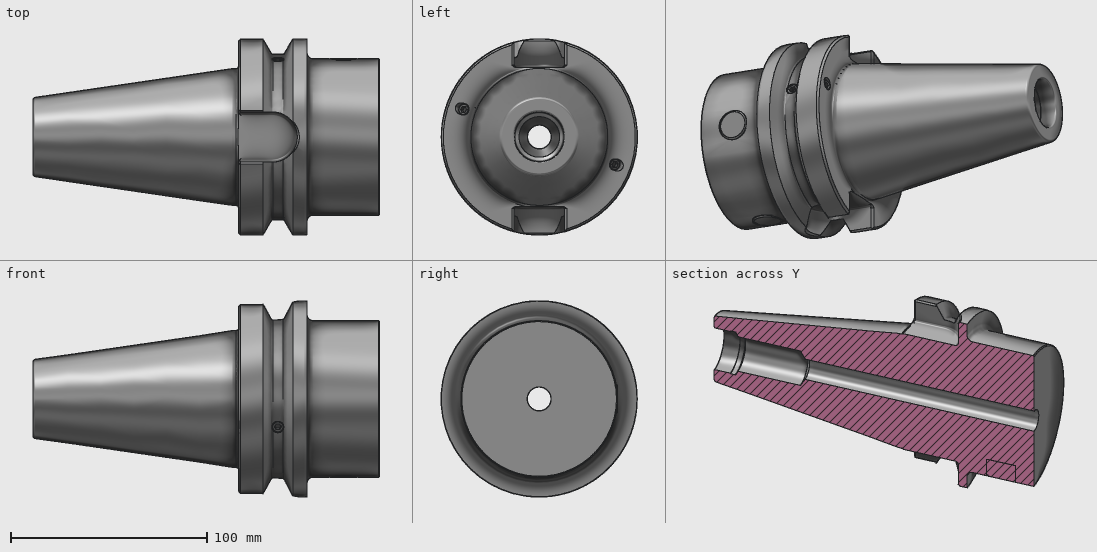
import cadquery as cq
import math


total_length = 176.8
taper_end = 101.8
flange_front = 104.8
flange_back = 139.8
groove_start = 121.8
groove_end = 128.0

taper_diameter = 69.8
flange_diameter = 100.0
groove_diameter = 84.5
barrel_diameter = 80.0
taper_slope = 7 / 24 / 2
groove_bevel_angle = 30.0

tip_round = 1.6
collar_round = 1.2
flange_chamfer = 1.0
back_bevel_length = 1.2
back_bevel_height = 0.2
groove_round = 0.9
barrel_root_round = 3.0
barrel_chamfer = 0.5

mouth_round = 1.0
counterbore_diameter = 25.1
counterbore_depth = 9.2
relief_diameter = 25.8
relief_width = 2.8
thread_diameter = 20.7
thread_depth = 47.7
thread_lead_angle = 60.0
drill_point_angle = 59.0
through_diameter = 12.0

keyway_width = 25.6
keyway_floor = 35.4
keyway_round = 1.8
keyway_center = 122.0
keyway_front_chamfer = 1.2
keyway_rim_chamfer = 1.0

screw_diameter = 6.0
screw_length = 6.0
screw_chamfer = 0.4
socket_width = 3.0
socket_depth = 2.5
port_angle = 20.0
face_port_radius = 41.9
face_port_tilt = 30.0
face_port_recess = 1.6
groove_port_recess = 0.5

plug_diameter = 15.5
plug_length = 10.0
plug_chamfer = 0.9
plug_position = 158.5

clearance = 1.8

flange_radius = flange_diameter / 2
groove_radius = groove_diameter / 2
barrel_radius = barrel_diameter / 2
half_keyway = keyway_width / 2
groove_bevel_run = (flange_radius - groove_radius) * math.tan(math.radians(groove_bevel_angle))


def turned_blank():
    """Revolve the outside of the holder and round its turned edges."""
    taper_radius = taper_diameter / 2
    tip_radius = taper_radius - taper_end * taper_slope
    blank = (
        cq.Workplane("XY")
        .moveTo(0, 0)
        .lineTo(0, tip_radius)
        .lineTo(taper_end, taper_radius)
        .lineTo(flange_front, taper_radius)
        .lineTo(flange_front, flange_radius - flange_chamfer)
        .lineTo(flange_front + flange_chamfer, flange_radius)
        .lineTo(groove_start - groove_bevel_run, flange_radius)
        .lineTo(groove_start, groove_radius)
        .lineTo(groove_end, groove_radius)
        .lineTo(groove_end + groove_bevel_run, flange_radius)
        .lineTo(flange_back - back_bevel_length, flange_radius)
        .lineTo(flange_back, flange_radius - back_bevel_height)
        .lineTo(flange_back, barrel_radius)
        .lineTo(total_length - barrel_chamfer, barrel_radius)
        .lineTo(total_length, barrel_radius - barrel_chamfer)
        .lineTo(total_length, 0)
        .close()
        .revolve(360, (0, 0, 0), (1, 0, 0))
    )

    def rounded(body, position, fillet):
        """Fillet the smallest circular edge found at a position along the axis."""
        margin = 0.02
        reach = flange_radius + clearance
        edges_there = cq.selectors.BoxSelector(
            (position - margin, -reach, -reach),
            (position + margin, reach, reach),
            boundingbox=True,
        )
        smallest_circle = cq.selectors.RadiusNthSelector(0)
        return body.edges(edges_there).edges(smallest_circle).fillet(fillet)

    blank = rounded(blank, 0, tip_round)
    blank = rounded(blank, flange_front, collar_round)
    blank = rounded(blank, groove_start, groove_round)
    blank = rounded(blank, groove_end, groove_round)
    return rounded(blank, flange_back, barrel_root_round)


def axial_bore():
    """Stepped bore: rounded mouth, counterbore, relief, thread hole, drill point, through hole."""
    counterbore_radius = counterbore_diameter / 2
    relief_radius = relief_diameter / 2
    relief_end = counterbore_depth + relief_width
    thread_radius = thread_diameter / 2
    lead_length = (counterbore_radius - thread_radius) / math.tan(math.radians(thread_lead_angle))
    through_radius = through_diameter / 2
    point_length = (thread_radius - through_radius) / math.tan(math.radians(drill_point_angle))
    return (
        cq.Workplane("XY")
        .moveTo(0, 0)
        .lineTo(0, counterbore_radius + mouth_round)
        .radiusArc((mouth_round, counterbore_radius), -mouth_round)
        .lineTo(counterbore_depth, counterbore_radius)
        .lineTo(counterbore_depth, relief_radius)
        .lineTo(relief_end, relief_radius)
        .lineTo(relief_end, counterbore_radius)
        .lineTo(relief_end + lead_length, thread_radius)
        .lineTo(thread_depth, thread_radius)
        .lineTo(thread_depth + point_length, through_radius)
        .lineTo(total_length, through_radius)
        .lineTo(total_length, 0)
        .close()
        .revolve(360, (0, 0, 0), (1, 0, 0))
    )


def keyway_cutter():
    """Round-ended keyway open to the flange front, with its chamfers, on the +Z side."""
    height = flange_radius + clearance - keyway_floor
    start = taper_end
    slot = (
        cq.Workplane("XY", origin=(0, 0, keyway_floor))
        .moveTo(start, -half_keyway)
        .lineTo(keyway_center, -half_keyway)
        .threePointArc((keyway_center + half_keyway, 0), (keyway_center, half_keyway))
        .lineTo(start, half_keyway)
        .close()
        .extrude(height)
        .faces("<Z")
        .edges("not <X")
        .fillet(keyway_round)
    )
    front_chamfer = (
        cq.Workplane("XY", origin=(0, 0, keyway_floor))
        .moveTo(flange_front, -half_keyway - keyway_front_chamfer)
        .lineTo(flange_front + keyway_front_chamfer, -half_keyway)
        .lineTo(flange_front + keyway_front_chamfer, half_keyway)
        .lineTo(flange_front, half_keyway + keyway_front_chamfer)
        .close()
        .extrude(height)
        .faces("<Z")
        .edges("<Y or >Y")
        .chamfer(keyway_front_chamfer)
    )
    side_rim = math.sqrt(flange_radius**2 - half_keyway**2) - keyway_rim_chamfer
    rim_rise = flange_radius + clearance - side_rim
    side_chamfer = (
        cq.Workplane("YZ", origin=(flange_front, 0, 0))
        .moveTo(-half_keyway, side_rim)
        .lineTo(half_keyway, side_rim)
        .lineTo(half_keyway + rim_rise, side_rim + rim_rise)
        .lineTo(-half_keyway - rim_rise, side_rim + rim_rise)
        .close()
        .extrude(groove_start - groove_bevel_run - flange_front)
    )
    end_rise = keyway_rim_chamfer + clearance
    end_chamfer = cq.Workplane(
        cq.Solid.makeCone(
            half_keyway,
            half_keyway + end_rise,
            end_rise,
            pnt=cq.Vector(keyway_center, 0, flange_radius - keyway_rim_chamfer),
        )
    )
    return slot.union(front_chamfer).union(side_chamfer).union(end_chamfer)


def radial_plane(x, radius, angle):
    """Plane at a place around the axis, facing outward; the angle runs from +Y towards +Z."""
    outward = cq.Vector(0, math.cos(math.radians(angle)), math.sin(math.radians(angle)))
    place = outward * radius + cq.Vector(x, 0, 0)
    return cq.Plane(origin=place.toTuple(), xDir=(1, 0, 0), normal=outward)


def face_port_plane(angle):
    """Plane on the flange front, facing forward and leaning outward by the port tilt."""
    plane = radial_plane(flange_front, face_port_radius, angle)
    tilt = math.radians(face_port_tilt)
    normal = plane.zDir * math.sin(tilt) - cq.Vector(1, 0, 0) * math.cos(tilt)
    return cq.Plane(origin=plane.origin, xDir=plane.yDir, normal=normal)


def round_port(plane, diameter, depth):
    """Blind hole into the plane, extended outward to break through the surface."""
    return cq.Workplane(plane).workplane(offset=-depth).circle(diameter / 2).extrude(depth + diameter)


def set_screw(plane, recess):
    """Socket set screw whose outer end lies below the plane by the recess."""
    hexagon_diameter = socket_width / math.cos(math.pi / 6)
    outer_end = cq.selectors.DirectionMinMaxSelector(plane.zDir, True)
    return (
        cq.Workplane(plane)
        .workplane(offset=-recess)
        .circle(screw_diameter / 2)
        .extrude(-screw_length)
        .faces(outer_end)
        .chamfer(screw_chamfer)
        .faces(outer_end)
        .workplane()
        .polygon(6, hexagon_diameter)
        .cutBlind(-socket_depth)
    )


def barrel_plug(plane):
    """Round plug with a chamfered outer end lying in the plane."""
    outer_end = cq.selectors.DirectionMinMaxSelector(plane.zDir, True)
    return (
        cq.Workplane(plane)
        .circle(plug_diameter / 2)
        .extrude(-plug_length)
        .faces(outer_end)
        .chamfer(plug_chamfer)
    )


port_angles = [port_angle, port_angle + 180]
groove_middle = (groove_start + groove_end) / 2
face_planes = [face_port_plane(angle) for angle in port_angles]
groove_planes = [radial_plane(groove_middle, groove_radius, angle) for angle in port_angles]
plug_planes = [radial_plane(plug_position, barrel_radius, angle) for angle in (0, -90)]

holder = turned_blank().cut(axial_bore())
for turn in (0, 180):
    holder = holder.cut(keyway_cutter().rotate((0, 0, 0), (1, 0, 0), turn))
for plane in face_planes:
    holder = holder.cut(round_port(plane, screw_diameter, face_port_recess + screw_length))
for plane in groove_planes:
    holder = holder.cut(round_port(plane, screw_diameter, groove_port_recess + screw_length))
for plane in plug_planes:
    holder = holder.cut(round_port(plane, plug_diameter, plug_length))

face_screws = [set_screw(plane, face_port_recess).val() for plane in face_planes]
groove_screws = [set_screw(plane, groove_port_recess).val() for plane in groove_planes]
plugs = [barrel_plug(plane).val() for plane in plug_planes]

result = cq.Compound.makeCompound([holder.val(), *face_screws, *groove_screws, *plugs])